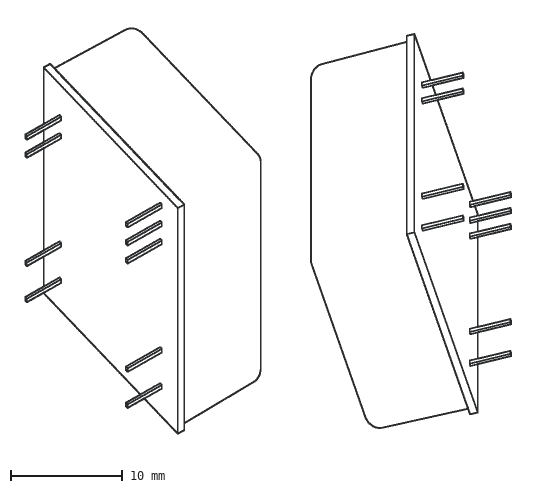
import cadquery as cq
import math

width = 20.3
height = 31.8
depth = 13.9
plate_thickness = 0.73
pin_length = 3.82

case_width = 19.9
case_height = 31.58
case_depth = depth - pin_length - plate_thickness
draft_per_side = 0.13
draft_angle = math.degrees(math.atan(draft_per_side / case_depth))
corner_radius = 0.8
top_radius = 1.27

pin_width = 0.25
pin_height = 0.5
pin_pitch = 2.55
row_spacing = 15.23
top_pin_z = 13.83
left_positions = [1, 2, 8, 10]
right_positions = [0, 1, 2, 8, 10]


def block_from(y, size_x, size_z, length, taper=0):
    """Rectangle centred on the Y axis, extruded toward +Y from the given y."""
    plane = cq.Workplane("XZ", origin=(0, y, 0))
    return plane.rect(size_x, size_z).extrude(-length, taper=taper)


def make_case():
    case = block_from(plate_thickness, case_width, case_height, case_depth, draft_angle)
    case = case.edges("not(|X or |Z)").fillet(corner_radius)
    return case.faces(">Y").edges().fillet(top_radius)


def make_pins(x, positions):
    centres = [(x, top_pin_z - pin_pitch * n) for n in positions]
    return cq.Workplane("XZ").pushPoints(centres).rect(pin_width, pin_height).extrude(pin_length)


plate = block_from(0, width, height, plate_thickness)
left_pins = make_pins(-row_spacing / 2, left_positions)
right_pins = make_pins(row_spacing / 2, right_positions)

result = plate.union(make_case()).union(left_pins).union(right_pins)